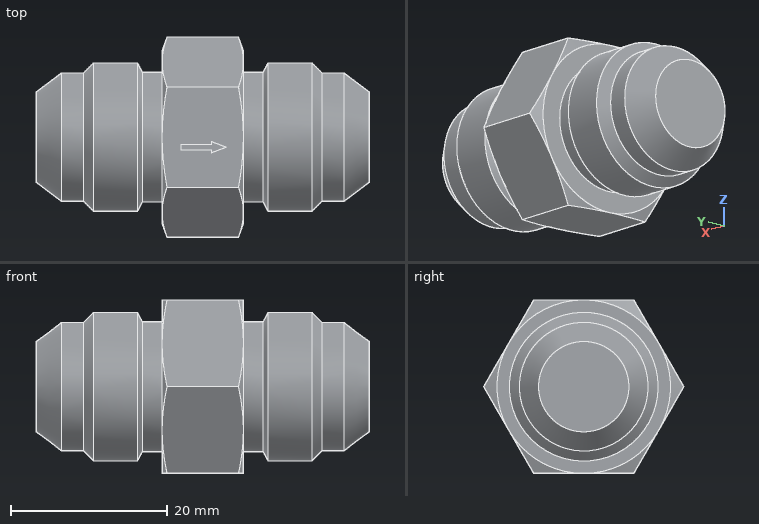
import cadquery as cq
import math

overall_length = 42.67
half_length = overall_length / 2

hex_across_flats = 22.225
hex_across_corners = hex_across_flats / math.cos(math.radians(30))
hex_width = 10.41
hex_chamfer_angle = 20.0

thread_diameter = 19.05
nose_diameter = 16.48
neck_diameter = 16.69
cone_half_angle = 37.0
cone_length = 3.25
nose_length = 2.82
thread_length = 5.62
lead_chamfer_angle = 45.0
runout_chamfer_angle = 28.0

arrow_start_x = -2.8
arrow_shoulder_x = 1.1
arrow_tip_x = 3.0
arrow_center_y = -1.28
arrow_shaft_width = 0.66
arrow_head_width = 1.45
arrow_depth = 0.1


def make_end():
    """Turned end on the -X side: seat cone, nose, thread cylinder and neck."""
    nose_radius = nose_diameter / 2
    thread_radius = thread_diameter / 2
    neck_radius = neck_diameter / 2
    face_radius = nose_radius - cone_length * math.tan(math.radians(cone_half_angle))
    lead_length = (thread_radius - nose_radius) * math.tan(math.radians(lead_chamfer_angle))
    runout_length = (thread_radius - neck_radius) * math.tan(math.radians(runout_chamfer_angle))

    face_x = -half_length
    cone_end_x = face_x + cone_length
    nose_end_x = cone_end_x + nose_length
    thread_start_x = nose_end_x + lead_length
    thread_end_x = thread_start_x + thread_length
    neck_start_x = thread_end_x + runout_length

    profile = [
        (face_x, 0),
        (face_x, face_radius),
        (cone_end_x, nose_radius),
        (nose_end_x, nose_radius),
        (thread_start_x, thread_radius),
        (thread_end_x, thread_radius),
        (neck_start_x, neck_radius),
        (0, neck_radius),
        (0, 0),
    ]
    return cq.Workplane("XY").polyline(profile).close().revolve(360, (0, 0, 0), (1, 0, 0))


def make_hexagon():
    """Hexagonal body whose corners are turned off conically at both faces."""
    half_width = hex_width / 2
    prism = cq.Workplane("YZ").polygon(6, hex_across_corners).extrude(half_width, both=True)

    flat_radius = hex_across_flats / 2
    corner_radius = hex_across_corners / 2
    chamfer_length = (corner_radius - flat_radius) * math.tan(math.radians(hex_chamfer_angle))
    shoulder_x = half_width - chamfer_length
    profile = [
        (-half_width, 0),
        (-half_width, flat_radius),
        (-shoulder_x, corner_radius),
        (shoulder_x, corner_radius),
        (half_width, flat_radius),
        (half_width, 0),
    ]
    envelope = cq.Workplane("XY").polyline(profile).close().revolve(360, (0, 0, 0), (1, 0, 0))
    return prism.intersect(envelope)


def make_arrow():
    """Cutter for the shallow flow arrow in the top flat."""
    half_shaft = arrow_shaft_width / 2
    half_head = arrow_head_width / 2
    outline = [
        (arrow_start_x, -half_shaft),
        (arrow_shoulder_x, -half_shaft),
        (arrow_shoulder_x, -half_head),
        (arrow_tip_x, 0),
        (arrow_shoulder_x, half_head),
        (arrow_shoulder_x, half_shaft),
        (arrow_start_x, half_shaft),
    ]
    top_flat = cq.Workplane("XY", origin=(0, arrow_center_y, hex_across_flats / 2))
    return top_flat.polyline(outline).close().extrude(-arrow_depth)


left_end = make_end()
right_end = left_end.mirror("YZ")
result = make_hexagon().union(left_end).union(right_end).cut(make_arrow())